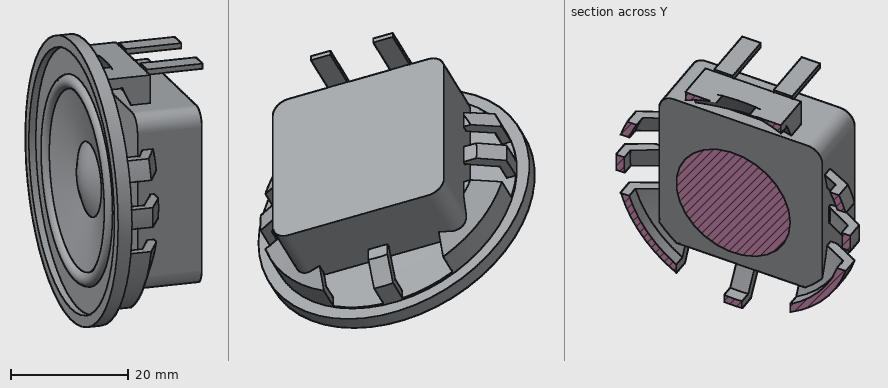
import cadquery as cq
import math


ring_radius = 25.0
ring_depth = 2.5
recess_radius = 23.0
recess_depth = 1.25
plate_back = 2.9

surround_outer = 18.25
surround_inner = 15.75
surround_height = 1.0
dome_radius = 6.5
dome_height = 1.5
cone_back = 4.8
cone_sink = cone_back - plate_back

basket_radius = 22.75
basket_wall = 1.65
basket_inner = basket_radius - basket_wall
basket_back = 9.5
bend_outer = 7.0
bend_inner = 6.0
taper = 1.8
floor_front = 8.75
arm_width = 3.5
window_height = 4.65
shoulder_top = 9.85
bottom_window_edge = 11.0

magnet_size = 31.6
magnet_front = 6.55
magnet_back = 18.1
magnet_corner = 2.9

block_width = 18.5
block_top = 20.85
block_back = 11.0
tab_width = 3.6
tab_spacing = 11.5
tab_back = 21.0
tab_thickness = 0.95
tab_top = 21.3


def box(x_range, y_range, z_range):
    """Box between two limits on each axis."""
    (x0, x1), (y0, y1), (z0, z1) = x_range, y_range, z_range
    return cq.Workplane("XY").box(x1 - x0, y1 - y0, z1 - z0, centered=False).translate((x0, y0, z0))


def turn(profile):
    """Revolve a closed (radius, y) profile about the speaker axis."""
    return profile.revolve(360, (0, 0, 0), (0, 1, 0))


def make_front():
    """Ring, plate, surround, cone and dome turned as one body."""
    surround_middle = (surround_outer + surround_inner) / 2
    dome_edge = recess_depth + cone_sink
    dome_apex = dome_edge - dome_height
    dome_middle = dome_radius / 2
    sphere_radius = (dome_radius**2 + dome_height**2) / (2 * dome_height)
    dome_drop = sphere_radius - math.sqrt(sphere_radius**2 - dome_middle**2)
    profile = (
        cq.Workplane("XY")
        .moveTo(0, dome_apex)
        .threePointArc((dome_middle, dome_apex + dome_drop), (dome_radius, dome_edge))
        .lineTo(surround_inner, recess_depth)
        .threePointArc((surround_middle, recess_depth - surround_height), (surround_outer, recess_depth))
        .lineTo(recess_radius, recess_depth)
        .lineTo(recess_radius, 0)
        .lineTo(ring_radius, 0)
        .lineTo(ring_radius, ring_depth)
        .lineTo(basket_radius, ring_depth)
        .lineTo(basket_radius, plate_back)
        .lineTo(surround_inner, plate_back)
        .lineTo(dome_radius, cone_back)
        .lineTo(0, cone_back)
        .close()
    )
    return turn(profile)


def cup(radius, bend, back):
    """Solid cup behind the plate: a cylinder that tapers in from the bend to the back."""
    back_radius = radius - taper * (back - bend)
    points = [(0, plate_back), (radius, plate_back), (radius, bend), (back_radius, back), (0, back)]
    return turn(cq.Workplane("XY").polyline(points).close())


def make_basket():
    """Hollow cup with a terminal block on top and windows between its arms."""
    reach = ring_radius
    depth = (plate_back, block_back)
    half_block = block_width / 2
    half_arm = arm_width / 2
    block = box((-half_block, half_block), depth, (0, block_top))
    basket = cup(basket_radius, bend_outer, basket_back).union(block)
    basket = basket.cut(box((-half_block, half_block), depth, (block_top, reach)))
    basket = basket.cut(cup(basket_inner, bend_inner, floor_front))

    window_far = half_arm + window_height
    for x_near, x_far, z_low, z_high in (
        (half_block, reach, shoulder_top, reach),
        (bottom_window_edge, reach, half_arm, window_far),
        (bottom_window_edge, reach, -window_far, -half_arm),
        (half_arm, bottom_window_edge, -reach, -shoulder_top),
    ):
        basket = basket.cut(box((x_near, x_far), depth, (z_low, z_high)))
        basket = basket.cut(box((-x_far, -x_near), depth, (z_low, z_high)))
    return basket


def make_magnet():
    """Square magnet with rounded corners along Y."""
    half = magnet_size / 2
    magnet = box((-half, half), (magnet_front, magnet_back), (-half, half))
    return magnet.edges("|Y").fillet(magnet_corner)


def make_tab(x_middle):
    """Flat solder tab reaching back from the terminal block."""
    half = tab_width / 2
    return box(
        (x_middle - half, x_middle + half),
        (block_back, tab_back),
        (tab_top - tab_thickness, tab_top),
    )


result = make_front().union(make_basket()).union(make_magnet())
for side in (-1, 1):
    result = result.union(make_tab(side * tab_spacing / 2))